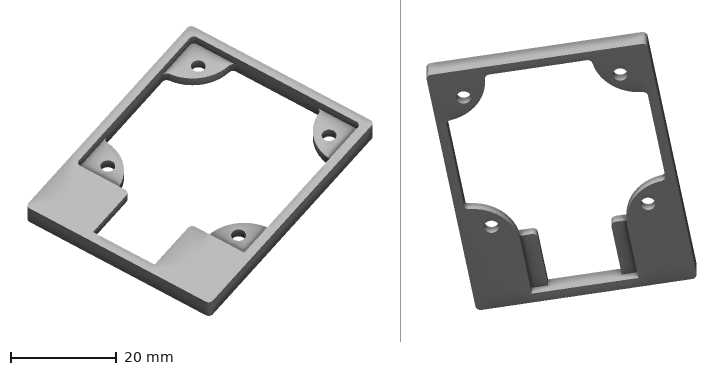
import cadquery as cq

width = 42.5
length = 54.75
height = 4.0
corner_radius = 1.0

wall = 1.85
cavity_side = width - 2 * wall
cavity_top = length / 2 - wall
cavity_bottom = cavity_top - cavity_side
cavity_center_y = (cavity_top + cavity_bottom) / 2

lug_radius = 9.1
lug_height = height / 2
lug_end_radius = 1.0
hole_diameter = 2.8
hole_spacing = 30.1

notch_width = 14.2
notch_wall = 2.0
notch_bottom = -length / 2 + notch_wall
notch_length = cavity_bottom - notch_bottom
notch_mouth_radius = 1.0

recess_width = cavity_side - 2 * lug_radius
recess_height = lug_height


def make_frame():
    """Solid plate with rounded vertical corners, resting on Z = 0."""
    plate = cq.Workplane("XY").box(width, length, height, centered=(True, True, False))
    return plate.edges("|Z").fillet(corner_radius)


def cavity_block(base_z, block_height):
    """Sharp-cornered block with the plan shape of the cavity."""
    return (
        cq.Workplane("XY", origin=(0, cavity_center_y, base_z))
        .rect(cavity_side, cavity_side)
        .extrude(block_height)
    )


def upper_cavity():
    """Cavity above the lugs; the +X, -Y corner stays sharp."""
    block = cavity_block(lug_height, height - lug_height)
    return block.edges("|Z and (<X or >Y)").fillet(corner_radius)


def lower_opening():
    """Opening between the lugs, rounded where the lugs meet the side and +Y walls."""
    lugs = (
        cq.Workplane("XY", origin=(0, cavity_center_y, 0))
        .rect(cavity_side, cavity_side, forConstruction=True)
        .vertices()
        .circle(lug_radius)
        .extrude(lug_height)
    )
    opening = cavity_block(0, lug_height).cut(lugs)
    return opening.edges("|Z and (<X or >X or >Y)").fillet(lug_end_radius)


def notch_block(block_width, block_height):
    """Block from the underside that spans the notch along Y."""
    return (
        cq.Workplane("XY", origin=(0, notch_bottom + notch_length / 2, 0))
        .rect(block_width, notch_length)
        .extrude(block_height)
    )


def lug_holes():
    """One through hole in each lug."""
    return (
        cq.Workplane("XY", origin=(0, cavity_center_y, 0))
        .rect(hole_spacing, hole_spacing, forConstruction=True)
        .vertices()
        .circle(hole_diameter / 2)
        .extrude(height)
    )


result = make_frame().cut(lower_opening()).cut(upper_cavity()).cut(lug_holes())
result = result.cut(notch_block(notch_width, height))

for side in (-1, 1):
    mouth_edge = (side * notch_width / 2, cavity_bottom, height / 2)
    result = result.edges("|Z").edges(cq.NearestToPointSelector(mouth_edge)).fillet(notch_mouth_radius)

result = result.cut(notch_block(recess_width, recess_height))